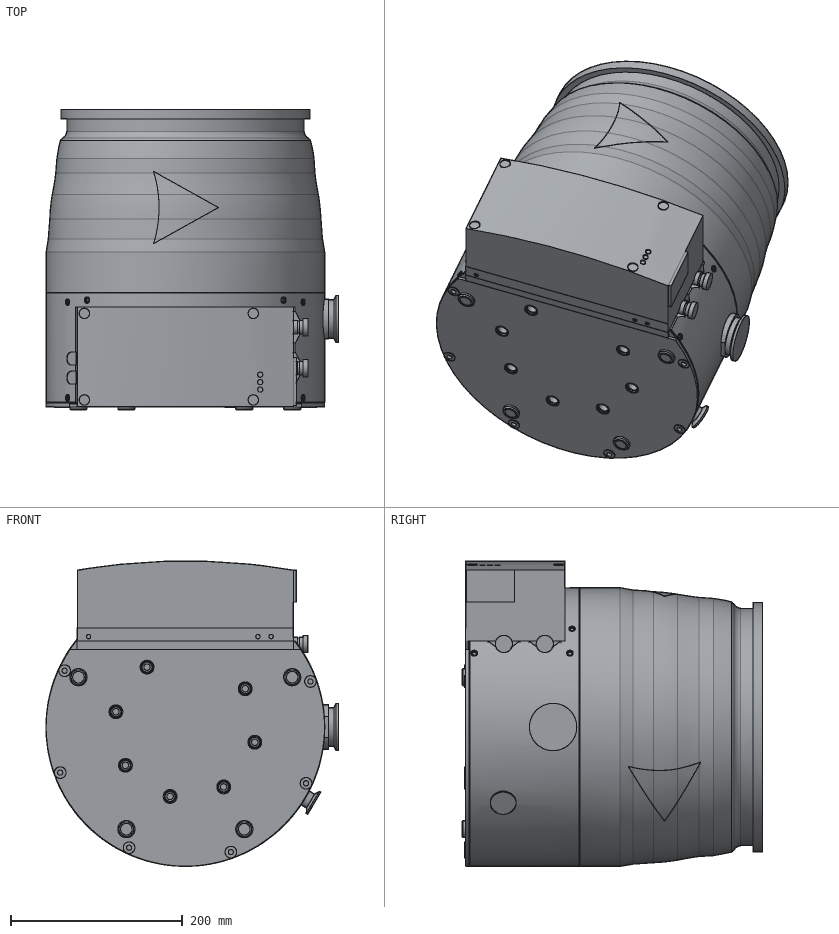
import math

import cadquery as cq


overlap = 1.0

body_radius = 162.0
body_length = 345.45
flange_radius = 145.0
flange_thickness = 11.0
neck_radius = 138.0
neck_start_y = 320.0
shoulder_y = 312.0
shoulder_radius = 143.0
dome_y = 309.4
dome_radius = 145.5
wave_foot = (159.4, 195.0)
lower_swell_start = (157.8, 218.4)
lower_swell_middle = (156.8, 232.0)
lower_swell_end = (154.8, 246.4)
waist_middle = (152.4, 259.0)
waist_end = (150.7, 271.5)
dome_start = (149.6, 288.3)
dome_middle = (148.0, 299.0)
throat_middle = (139.6, 315.5)
cylinder_top_y = 180.0
joint_y = 132.0
cover_joint_y = 4.5
joint_width = 1.0
joint_depth = 0.5

box_half_width = 125.6
box_length = 115.8
box_side_top_z = 182.3
box_top_z = 193.04
seat_z = 99.7
strip_bottom_z = 89.8
strip_top_z = 115.0
strip_thickness = 4.0
cover_inset = 0.3
base_plate_top_z = 102.0
notch_depth = 3.0
button_diameter = 12.0
button_xs = (-117.3, 79.0)
button_ys = (8.0, 108.5)
button_depth = 0.5
lamp_diameter = 6.0
lamp_x = 87.0
lamp_first_y = 20.0
lamp_pitch = 8.65
lamp_count = 3
lamp_depth = 1.0
strip_hole_diameter = 5.0
strip_hole_xs = (-112.4, 84.3, 99.7)
strip_hole_z = 105.0
strip_hole_depth = 2.0
side_plate_thickness = 3.4
side_plate_front_y = 1.5
side_plate_back_y = 57.0
side_plate_bottom_z = 145.0

foot_diameter = 20.0
foot_height = 4.0
foot_chamfer = 1.5
foot_dish_diameter = 13.5
foot_dish_depth = 0.5
foot_circle_radius = 137.0
foot_angles = (25, 155, 240, 300)
rim_head_diameter = 13.5
rim_socket_diameter = 6.0
rim_head_height = 1.0
rim_socket_depth = 3.0
rim_circle_radius = 154.7
rim_angles = (20, 155, 200, 245, 290, 335)
mount_circle_radius = 82.6
mount_first_angle = 122.6
mount_count = 7
mount_pitch = 45.0
mount_bore_diameter = 11.5
mount_bore_depth = 15.0
mount_sink_diameter = 16.0
mount_sink_depth = 1.0
mount_step_diameter = 13.5
mount_step_depth = 3.0
mount_tip_diameter = 7.53
mount_tip_depth = 18.0

port_embed = 15.0
main_port_y = 102.0
main_port_end = 178.0
main_port_flange_diameter = 55.0
main_port_flange_thickness = 3.0
main_port_taper = 2.5
main_port_neck_diameter = 45.0
main_port_collar_diameter = 52.0
main_port_collar_end = 166.5
main_port_collar_flats = 46.0
small_port_y = 44.0
small_port_angle = -30.6
small_port_end = 174.0
small_port_flange_diameter = 30.0
small_port_flange_thickness = 2.0
small_port_taper = 3.0
small_port_neck_diameter = 19.0
connector_z = 96.5
connector_ys = (44.8, 92.4)
connector_end_x = 142.4
connector_head_length = 5.5
connector_head_diameter = 20.0
connector_neck_diameter = 16.0
connector_start_x = 118.0
connector_groove_diameter = 14.0
connector_groove_start_x = 130.5
connector_groove_width = 2.0
clearance_inner_width = 37.0
clearance_outer_width = 17.0
clearance_outer_x = 133.0
clearance_floor_z = 88.0

mark_depth = 0.4
arrow_angles = (90, 210, 330)
arrow_centre_y = 231.5
arrow_half_base = 42.0
arrow_tip = 38.5
arrow_tail = 37.0
arrow_notch = 30.5
tab_diameter = 15.0
tab_centre_z = 92.8
tab_ys = (33.8, 56.0)
screw_recess_diameter = 7.53
screw_recess_depth = 1.0
screw_bore_diameter = 5.0
screw_bore_depth = 2.5
screw_places = ((32.1, 10.4), (32.1, 121.6), (45.0, 124.0))


def polar(radius, angle):
    """X and Z of a point at the given radius and angle about the body axis."""
    turn = math.radians(angle)
    return radius * math.cos(turn), radius * math.sin(turn)


def base_disc(place, diameter, start_y, end_y):
    """Cylinder along Y at an (X, Z) place."""
    x, z = place
    start = cq.Vector(x, start_y, z)
    return cq.Workplane(cq.Solid.makeCylinder(diameter / 2, end_y - start_y, start, cq.Vector(0, 1, 0)))


def block(x_range, y_range, z_range):
    """Box between the given limits."""
    sizes = [high - low for low, high in (x_range, y_range, z_range)]
    corner = (x_range[0], y_range[0], z_range[0])
    return cq.Workplane("XY").box(*sizes, centered=False).translate(corner)


def radial_turning(outline, y, angle):
    """Solid turned about a radial axis, from (distance from body axis, radius) points."""
    start, end = outline[0][0], outline[-1][0]
    points = [(start, 0)] + outline + [(end, 0)]
    turning = cq.Workplane("XY").polyline(points).close().revolve(360, (0, 0, 0), (1, 0, 0))
    return turning.rotate((0, 0, 0), (0, 1, 0), -angle).translate((0, y, 0))


def make_body(inset=0.0):
    """Revolved pump body; an inset gives the same shape with a smaller radius."""

    def at(radius, y):
        return radius - inset, y

    flange_back_y = body_length - flange_thickness
    outline = (
        cq.Workplane("XY")
        .moveTo(0, 0)
        .lineTo(*at(body_radius, 0))
        .lineTo(*at(body_radius, cylinder_top_y))
        .lineTo(*at(*wave_foot))
        .lineTo(*at(*lower_swell_start))
        .threePointArc(at(*lower_swell_middle), at(*lower_swell_end))
        .threePointArc(at(*waist_middle), at(*waist_end))
        .lineTo(*at(*dome_start))
        .threePointArc(at(*dome_middle), at(dome_radius, dome_y))
        .lineTo(*at(shoulder_radius, shoulder_y))
        .threePointArc(at(*throat_middle), at(neck_radius, neck_start_y))
        .lineTo(*at(neck_radius, flange_back_y))
        .lineTo(*at(flange_radius, flange_back_y))
        .lineTo(*at(flange_radius, body_length))
        .lineTo(0, body_length)
        .close()
    )
    return outline.revolve(360, (0, 0, 0), (0, 1, 0))


def cut_joints(body):
    """Fine grooves where the housing parts meet."""
    for y in (joint_y, cover_joint_y):
        ring = base_disc((0, 0), 2 * (body_radius + overlap), y, y + joint_width)
        core = base_disc((0, 0), 2 * (body_radius - joint_depth), y, y + joint_width)
        body = body.cut(ring.cut(core))
    return body


def arrow_prism(angle):
    """Rotation arrow standing on the body at the given angle."""
    arrow = (
        cq.Workplane("XY")
        .moveTo(arrow_tip, arrow_centre_y)
        .lineTo(-arrow_tail, arrow_centre_y + arrow_half_base)
        .threePointArc((-arrow_notch, arrow_centre_y), (-arrow_tail, arrow_centre_y - arrow_half_base))
        .close()
        .extrude(body_radius + overlap)
    )
    return arrow.rotate((0, 0, 0), (0, 1, 0), 90 - angle)


def tab_prism(y):
    """U-shaped tab on the -X side, running up to the box seat."""
    radius = tab_diameter / 2
    return (
        cq.Workplane("YZ")
        .moveTo(y - radius, seat_z)
        .lineTo(y - radius, tab_centre_z)
        .threePointArc((y, tab_centre_z - radius), (y + radius, tab_centre_z))
        .lineTo(y + radius, seat_z)
        .close()
        .extrude(-body_radius - overlap)
    )


def engrave_marks(body):
    """Shallow arrows and tabs that follow the curved surface."""
    core = make_body(mark_depth)
    prisms = [arrow_prism(angle) for angle in arrow_angles]
    prisms += [tab_prism(y) for y in tab_ys]
    for prism in prisms:
        body = body.cut(prism.cut(core))
    return body


def cut_body_screws(body):
    """Recessed screws around the box on both sides of the body."""
    for angle, y in screw_places:
        for side_angle in (angle, 180 - angle):
            recess_floor = body_radius - screw_recess_depth
            outline = [
                (body_radius - screw_bore_depth, screw_bore_diameter / 2),
                (recess_floor, screw_bore_diameter / 2),
                (recess_floor, screw_recess_diameter / 2),
                (body_radius + overlap, screw_recess_diameter / 2),
            ]
            body = body.cut(radial_turning(outline, y, side_angle))
    return body


def cut_box_seat(body):
    """Flat seat for the box, notch for its front strip and clearances under the connectors."""
    reach = (-body_radius, body_radius)
    body = body.cut(block(reach, (0, box_length), (seat_z, body_radius)))
    body = body.cut(block(reach, (0, notch_depth), (strip_bottom_z, body_radius)))
    seat_edge_x = math.sqrt(body_radius**2 - seat_z**2)
    for y in connector_ys:
        outline = [
            (connector_start_x, y - clearance_inner_width / 2),
            (seat_edge_x, y - clearance_inner_width / 2),
            (clearance_outer_x, y - clearance_outer_width / 2),
            (clearance_outer_x, y + clearance_outer_width / 2),
            (seat_edge_x, y + clearance_inner_width / 2),
            (connector_start_x, y + clearance_inner_width / 2),
        ]
        clearance = cq.Workplane("XY", origin=(0, 0, clearance_floor_z)).polyline(outline).close()
        body = body.cut(clearance.extrude(seat_z - clearance_floor_z))
    return body


def roof_arc_radius():
    """Radius of the arc through both side tops and the middle of the roof."""
    rise = box_top_z - box_side_top_z
    return (box_half_width**2 + rise**2) / (2 * rise)


def roof_z(x):
    """Height of the arched roof above a given X."""
    radius = roof_arc_radius()
    return box_top_z - radius + math.sqrt(radius**2 - x**2)


def roof_recess(x, y, diameter, depth):
    """Vertical recess whose floor lies below the lowest point of its rim."""
    floor = roof_z(abs(x) + diameter / 2) - depth
    return cq.Workplane("XY", origin=(x, y, floor)).circle(diameter / 2).extrude(box_top_z - floor)


def make_box():
    """Electronics box with an arched roof, base plate, front strip and side plate."""
    width = (-box_half_width, box_half_width)
    cover = (
        cq.Workplane("XZ")
        .moveTo(-box_half_width + cover_inset, seat_z)
        .lineTo(-box_half_width + cover_inset, box_side_top_z)
        .threePointArc((0, box_top_z), (box_half_width, box_side_top_z))
        .lineTo(box_half_width, seat_z)
        .close()
        .extrude(cover_inset - box_length)
        .translate((0, cover_inset, 0))
    )
    box = cover.union(block(width, (0, box_length), (seat_z, base_plate_top_z)))
    box = box.union(block(width, (0, strip_thickness), (seat_z, strip_top_z)))
    box = box.union(block(width, (cover_inset, strip_thickness), (strip_bottom_z, seat_z)))
    plate_x = (box_half_width, box_half_width + side_plate_thickness)
    plate_y = (side_plate_front_y, side_plate_back_y)
    box = box.union(block(plate_x, plate_y, (side_plate_bottom_z, box_side_top_z)))
    for x in button_xs:
        for y in button_ys:
            box = box.cut(roof_recess(x, y, button_diameter, button_depth))
    for index in range(lamp_count):
        box = box.cut(roof_recess(lamp_x, lamp_first_y + index * lamp_pitch, lamp_diameter, lamp_depth))
    for x in strip_hole_xs:
        box = box.cut(base_disc((x, strip_hole_z), strip_hole_diameter, 0, strip_hole_depth))
    return box


def add_feet(part):
    """Round chamfered feet with a shallow dish, on the base."""
    for angle in foot_angles:
        place = polar(foot_circle_radius, angle)
        foot = base_disc(place, foot_diameter, -foot_height, overlap).faces("<Y").chamfer(foot_chamfer)
        dish = base_disc(place, foot_dish_diameter, -foot_height, foot_dish_depth - foot_height)
        part = part.union(foot.cut(dish))
    return part


def add_rim_screws(part):
    """Low screw heads with a socket around the rim of the base."""
    for angle in rim_angles:
        place = polar(rim_circle_radius, angle)
        part = part.union(base_disc(place, rim_head_diameter, -rim_head_height, overlap))
        part = part.cut(base_disc(place, rim_socket_diameter, -rim_head_height, rim_socket_depth))
    return part


def cut_mounting_holes(part):
    """Stepped mounting holes in the base; one place of the eight is left out."""
    steps = (
        (mount_sink_diameter, mount_sink_depth),
        (mount_step_diameter, mount_step_depth),
        (mount_bore_diameter, mount_bore_depth),
        (mount_tip_diameter, mount_tip_depth),
    )
    for index in range(mount_count):
        place = polar(mount_circle_radius, mount_first_angle + index * mount_pitch)
        for diameter, depth in steps:
            part = part.cut(base_disc(place, diameter, 0, depth))
    return part


def flanged_port(y, angle, end, flange_diameter, flange_thickness, taper, neck_diameter):
    """Clamp-flange port pointing outwards from the body."""
    rim_start = end - flange_thickness
    outline = [
        (body_radius - port_embed, neck_diameter / 2),
        (rim_start - taper, neck_diameter / 2),
        (rim_start, flange_diameter / 2),
        (end, flange_diameter / 2),
    ]
    return radial_turning(outline, y, angle)


def make_main_port():
    """Large port on +X with a collar flattened on two sides."""
    port = flanged_port(
        main_port_y, 0, main_port_end, main_port_flange_diameter,
        main_port_flange_thickness, main_port_taper, main_port_neck_diameter,
    )
    collar_radius = main_port_collar_diameter / 2
    collar_start = body_radius - port_embed
    collar = radial_turning(
        [(collar_start, collar_radius), (main_port_collar_end, collar_radius)], main_port_y, 0
    )
    half_flats = main_port_collar_flats / 2
    flats = block(
        (collar_start, main_port_collar_end),
        (main_port_y - half_flats, main_port_y + half_flats),
        (-collar_radius, collar_radius),
    )
    return port.union(collar.intersect(flats))


def make_small_port():
    """Small port below the large one."""
    return flanged_port(
        small_port_y, small_port_angle, small_port_end, small_port_flange_diameter,
        small_port_flange_thickness, small_port_taper, small_port_neck_diameter,
    )


def make_connector(y):
    """Cable connector beside the box, pointing along +X."""
    head_start = connector_end_x - connector_head_length
    groove_end = connector_groove_start_x + connector_groove_width
    outline = [
        (connector_start_x, connector_neck_diameter / 2),
        (connector_groove_start_x, connector_neck_diameter / 2),
        (connector_groove_start_x, connector_groove_diameter / 2),
        (groove_end, connector_groove_diameter / 2),
        (groove_end, connector_neck_diameter / 2),
        (head_start, connector_neck_diameter / 2),
        (head_start, connector_head_diameter / 2),
        (connector_end_x, connector_head_diameter / 2),
    ]
    return radial_turning(outline, y, 0).translate((0, 0, connector_z))


def make_pump():
    """The complete pump as one solid."""
    pump = engrave_marks(cut_joints(make_body()))
    pump = cut_box_seat(cut_body_screws(pump))
    pump = pump.union(make_box())
    pump = pump.union(make_main_port()).union(make_small_port())
    for y in connector_ys:
        pump = pump.union(make_connector(y))
    return cut_mounting_holes(add_rim_screws(add_feet(pump)))


result = make_pump()